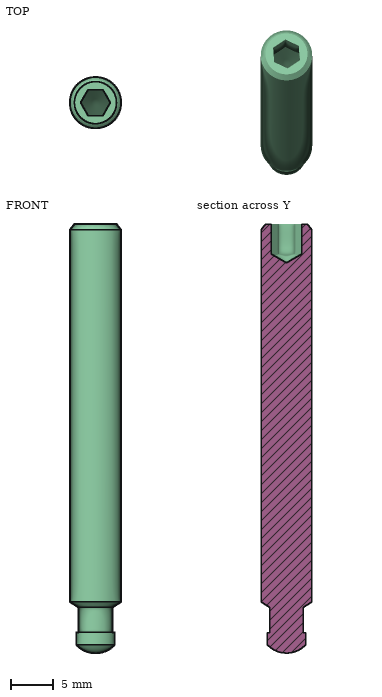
import cadquery as cq
import math

length = 50.0
body_radius = 3.0
top_chamfer_height = 0.7
top_face_radius = 2.45

body_bottom = 6.0
shoulder_height = 0.65
neck_radius = 2.0
head_radius = 2.25
head_top = 2.45
dome_height = 1.0

socket_across_flats = 3.0
socket_depth = 3.5
drill_cone_angle = 120.0


def make_shank():
    """Revolve the stepped half profile, with its domed lower end, about Z."""
    dome_radius = (head_radius**2 + dome_height**2) / (2 * dome_height)
    half_angle = math.asin(head_radius / dome_radius) / 2
    dome_middle = (
        dome_radius * math.sin(half_angle),
        dome_radius * (1 - math.cos(half_angle)),
    )
    return (
        cq.Workplane("XZ")
        .threePointArc(dome_middle, (head_radius, dome_height))
        .lineTo(head_radius, head_top)
        .lineTo(neck_radius, head_top)
        .lineTo(neck_radius, body_bottom - shoulder_height)
        .lineTo(body_radius, body_bottom)
        .lineTo(body_radius, length - top_chamfer_height)
        .lineTo(top_face_radius, length)
        .lineTo(0, length)
        .close()
        .revolve(360, (0, 0, 0), (0, 1, 0))
    )


def make_socket():
    """Hexagonal prism, corners on X, whose lower end is trimmed to a conical point."""
    across_corners = socket_across_flats / math.cos(math.pi / 6)
    cone_radius = across_corners / 2
    cone_height = cone_radius / math.tan(math.radians(drill_cone_angle / 2))
    cone_top = length - socket_depth
    hexagon = (
        cq.Workplane("XY")
        .workplane(offset=cone_top - cone_height)
        .polygon(6, across_corners)
        .extrude(socket_depth + cone_height)
    )
    pointed_bore = (
        cq.Workplane("XZ")
        .moveTo(0, cone_top - cone_height)
        .lineTo(cone_radius, cone_top)
        .lineTo(cone_radius, length)
        .lineTo(0, length)
        .close()
        .revolve(360, (0, 0, 0), (0, 1, 0))
    )
    return hexagon.intersect(pointed_bore)


result = make_shank().cut(make_socket())